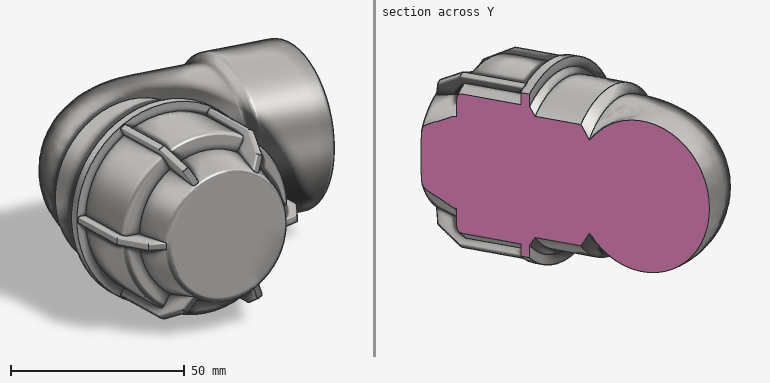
import cadquery as cq

import math

PIPE_RADIUS = 45.57 / 2
BEND_RADIUS = 18.0

SOCKET_RADIUS = 50.64 / 2
SOCKET_END = 66.0
SOCKET_LENGTH = 24.8
SOCKET_RIM_FILLET = 1.6
SOCKET_NECK_FILLET = 1.5

COLLAR_RADIUS = 51.2 / 2
COLLAR_FLARE = COLLAR_RADIUS - PIPE_RADIUS

NUT_END = 75.0
LIP_RADIUS = 27.5
FLANGE_RADIUS = 61.0 / 2
FLANGE_START = 38.2
FLANGE_THICKNESS = 3.0
FLANGE_END = FLANGE_START + FLANGE_THICKNESS
BARREL_RADIUS = 27.6
BARREL_END = 63.0
BARREL_FILLET = 1.6
NOSE_START = 63.9
NOSE_RADIUS = 22.6
NOSE_END_RADIUS = 19.9
NOSE_FILLET = 1.6

RIB_COUNT = 6
RIB_THICKNESS = 2.25
RIB_EDGE_FILLET = 0.55
RIB_CREST_RADIUS = 30.1
RIB_SHOULDER_X = 72.2
RIB_SHOULDER_RADIUS = 25.0
RIB_TIP_RADIUS = 18.0
RIB_ROOT_RADIUS = 15.0


def make_bend():
    """Quarter-turn elbow; the tube section is cut off at the bend axis it would cross."""
    half_chord = math.sqrt(PIPE_RADIUS**2 - BEND_RADIUS**2)
    section = (
        cq.Workplane("XZ", origin=(0, BEND_RADIUS, 0))
        .moveTo(BEND_RADIUS, half_chord)
        .threePointArc((-PIPE_RADIUS, 0), (BEND_RADIUS, -half_chord))
        .close()
    )
    return section.revolve(90, (BEND_RADIUS, 0, 0), (BEND_RADIUS, 1, 0))


def make_socket_leg():
    """Plain pipe widening through a 45 degree cone into the socket at the open end."""
    socket_start = SOCKET_END - SOCKET_LENGTH
    neck_end = socket_start - (SOCKET_RADIUS - PIPE_RADIUS)
    leg = (
        cq.Workplane("XY")
        .moveTo(0, BEND_RADIUS)
        .lineTo(PIPE_RADIUS, BEND_RADIUS)
        .lineTo(PIPE_RADIUS, neck_end)
        .lineTo(SOCKET_RADIUS, socket_start)
        .lineTo(SOCKET_RADIUS, SOCKET_END)
        .lineTo(0, SOCKET_END)
        .close()
        .revolve(360, (0, 0, 0), (0, 1, 0))
    )
    leg = leg.faces(">Y").edges().fillet(SOCKET_RIM_FILLET)
    neck_zone = cq.selectors.BoxSelector(
        (-SOCKET_END, neck_end - SOCKET_NECK_FILLET, -SOCKET_END),
        (SOCKET_END, socket_start + SOCKET_NECK_FILLET, SOCKET_END),
    )
    return leg.edges(neck_zone).edges("%CIRCLE").fillet(SOCKET_NECK_FILLET)


def make_collar():
    """Collar flaring at 45 degrees from the bend, with a conical lip against the nut flange."""
    lip_start = FLANGE_START - (LIP_RADIUS - COLLAR_RADIUS)
    return (
        cq.Workplane("XY")
        .moveTo(BEND_RADIUS, 0)
        .lineTo(BEND_RADIUS, PIPE_RADIUS)
        .lineTo(BEND_RADIUS + COLLAR_FLARE, COLLAR_RADIUS)
        .lineTo(lip_start, COLLAR_RADIUS)
        .lineTo(FLANGE_START, LIP_RADIUS)
        .lineTo(FLANGE_START, 0)
        .close()
        .revolve(360, (0, 0, 0), (1, 0, 0))
    )


def nut_disc(start, end, radius):
    return cq.Workplane("YZ", origin=(start, 0, 0)).circle(radius).extrude(end - start)


def make_nut_body():
    """Flange, barrel and tapered nose, stacked along X."""
    flange = nut_disc(FLANGE_START, FLANGE_END, FLANGE_RADIUS)
    barrel = nut_disc(FLANGE_END, BARREL_END, BARREL_RADIUS).faces(">X").edges().fillet(BARREL_FILLET)
    nose = (
        cq.Workplane("XY")
        .moveTo(BARREL_END, 0)
        .lineTo(BARREL_END, NOSE_RADIUS)
        .lineTo(NOSE_START, NOSE_RADIUS)
        .lineTo(NUT_END, NOSE_END_RADIUS)
        .lineTo(NUT_END, 0)
        .close()
        .revolve(360, (0, 0, 0), (1, 0, 0))
        .faces(">X")
        .edges()
        .fillet(NOSE_FILLET)
    )
    return flange.union(barrel).union(nose)


def make_rib():
    """One grip rib on the +Y side, reaching into flange and nose, with rounded crest edges."""
    rib = (
        cq.Workplane("XY", origin=(0, 0, -RIB_THICKNESS / 2))
        .moveTo(FLANGE_START, RIB_ROOT_RADIUS)
        .lineTo(FLANGE_START, RIB_CREST_RADIUS)
        .lineTo(BARREL_END, RIB_CREST_RADIUS)
        .lineTo(RIB_SHOULDER_X, RIB_SHOULDER_RADIUS)
        .lineTo(NUT_END, RIB_TIP_RADIUS)
        .lineTo(NUT_END, RIB_ROOT_RADIUS)
        .close()
        .extrude(RIB_THICKNESS)
    )
    crest_zone = cq.selectors.BoxSelector(
        (FLANGE_END, RIB_TIP_RADIUS, -RIB_THICKNESS),
        (NUT_END, FLANGE_RADIUS, RIB_THICKNESS),
    )
    return rib.faces("|Z").edges(crest_zone).fillet(RIB_EDGE_FILLET)


result = make_bend().union(make_socket_leg()).union(make_collar()).union(make_nut_body())
rib = make_rib()
for index in range(RIB_COUNT):
    result = result.union(rib.rotate((0, 0, 0), (1, 0, 0), index * 360 / RIB_COUNT))